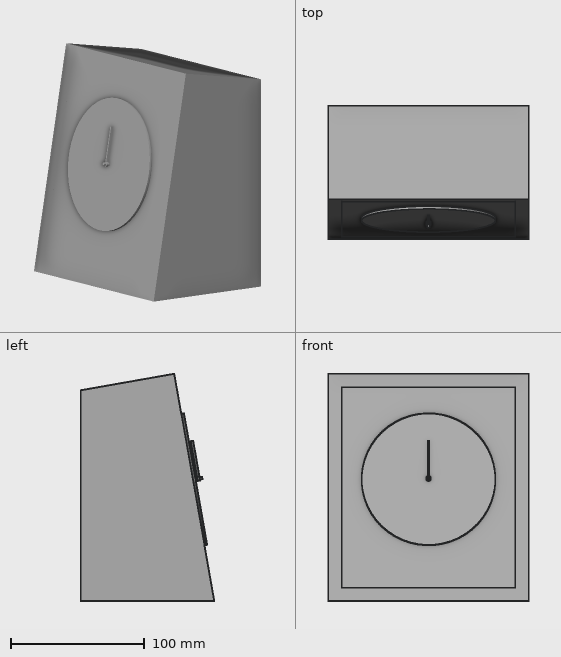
import cadquery as cq
import math

case_width = 150.0
case_depth = 100.0
case_height = 170.0
lean_angle = math.radians(10)

panel_side_margin = 10.0
panel_end_margin = 10.2
panel_thickness = 3.0

dial_diameter = 100.0
dial_thickness = 2.0
dial_height = 92.3

shaft_diameter = 2.0
shaft_length = 5.1
hand_gap = 1.2
hand_thickness = 2.0
hand_width = 1.0
hand_length = 28.5
hub_diameter = 3.4

front_bottom_y = -case_depth / 2
front_top_y = front_bottom_y + case_height * math.tan(lean_angle)
back_y = case_depth / 2
back_height = case_height - (back_y - front_top_y) * math.tan(lean_angle)
front_length = case_height / math.cos(lean_angle)


def front_plane(up_slope, offset=0):
    """Plane parallel to the front, `up_slope` from its bottom edge and `offset` outside it."""
    bottom_edge = cq.Plane(
        origin=(0, front_bottom_y, 0),
        xDir=(1, 0, 0),
        normal=(0, -math.cos(lean_angle), math.sin(lean_angle)),
    )
    return cq.Workplane(bottom_edge).workplane(offset=offset).center(0, up_slope)


def make_panel():
    return front_plane(front_length / 2).rect(
        case_width - 2 * panel_side_margin, front_length - 2 * panel_end_margin
    ).extrude(-panel_thickness)


def make_case(panel):
    wedge = (
        cq.Workplane("YZ")
        .polyline([
            (front_bottom_y, 0),
            (back_y, 0),
            (back_y, back_height),
            (front_top_y, case_height),
        ])
        .close()
        .extrude(case_width / 2, both=True)
    )
    return wedge.cut(panel)


def make_dial():
    return front_plane(dial_height).circle(dial_diameter / 2).extrude(dial_thickness)


def make_shaft():
    return front_plane(dial_height, dial_thickness).circle(shaft_diameter / 2).extrude(shaft_length)


def make_hand(shaft):
    """Straight pointer with a round hub, bored to fit the shaft."""
    hand_offset = dial_thickness + hand_gap
    hub = front_plane(dial_height, hand_offset).circle(hub_diameter / 2).extrude(hand_thickness)
    pointer = (
        front_plane(dial_height + hand_length / 2, hand_offset)
        .rect(hand_width, hand_length)
        .extrude(hand_thickness)
    )
    return hub.union(pointer).cut(shaft)


panel = make_panel()
case = make_case(panel)
dial = make_dial()
shaft = make_shaft()
hand = make_hand(shaft)

result = cq.Compound.makeCompound([
    case.val(),
    panel.val(),
    dial.val(),
    shaft.val(),
    *hand.vals(),
])